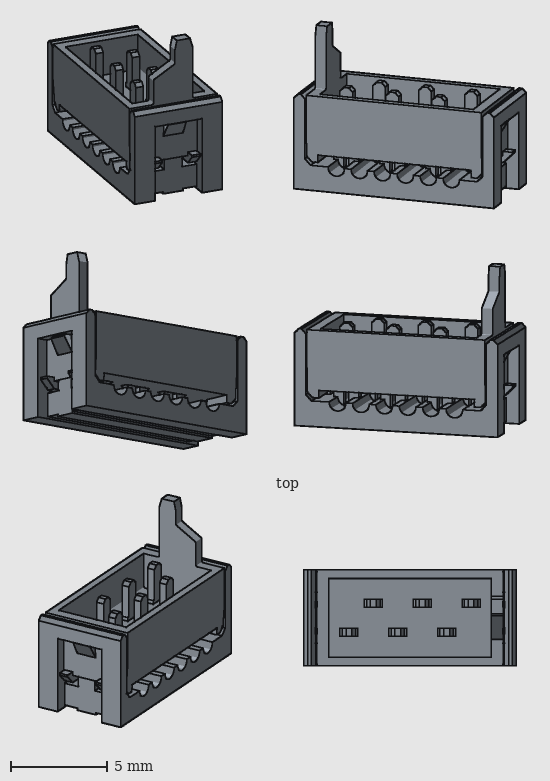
import cadquery as cq
import math

LENGTH = 11.05
WIDTH = 5.0

PITCH = 1.27
CONTACT_COUNT = 6
ROW_Y = 0.75
CONTACT_DEPTH = 0.42
BLADE_WIDTH = 0.7
BLADE_TOP = 5.27
BLADE_TIP_CHAMFER = 0.2
SHOULDER_WIDTH = 0.93
SHOULDER_HEIGHT = 0.21
FORK_WIDTH = 1.37
FORK_SLOT = 0.28
FORK_BOTTOM = 0.66
FORK_FLARE = 0.11

ARM_THICKNESS = 0.62
ARM_TOP = 5.14
ARM_TIP_CHAMFER = 0.22
BASE_TOP = 1.36
BASE_CORNER_CHAMFER = 0.32
GROOVE_RADIUS = 0.45
WINDOW_WIDTH = 2.67
WINDOW_TOP = 4.17
POST_WIDTH = 1.02
POST_INNER_X = 4.19
CHANNEL_HEIGHT = 0.11
KEEL_WIDTH = 1.13

HOUSING_LENGTH = 9.67
HOUSING_TOP = 5.12
LEG_BOTTOM = 1.51
LEG_CORNER_CHAMFER = 0.28
LEG_INNER_Y = 0.84
UNDERSIDE = 1.92
DRAFT_TOP = 3.1
DRAFT_ANGLE = 4.0
CAVITY_LENGTH = 8.46
CAVITY_WIDTH = 4.11
CAVITY_FLOOR = 3.16
CAVITY_FILLET = 0.12

SNAP_REACH = 0.5
CATCH_BOTTOM = 3.25
CATCH_TOP_WIDTH = 1.02
CATCH_BOTTOM_WIDTH = 1.13
CATCH_CHAMFER_X = 0.08
CATCH_CHAMFER_Z = 0.11
HOOK_TOP = 2.12
HOOK_LIP = 0.11

LATCH_HALF_WIDTH = 1.12
LATCH_TOP = 8.5
LATCH_TAPER_START = 7.99
LATCH_TIP_FRONT_Y = 0.21
LATCH_TIP_BACK_Y = 0.96
LATCH_NECK_Y = 0.1
LATCH_NECK_Z = 7.2
LATCH_RAMP_ANGLE = 30.0
LATCH_FILLET = 0.11

HALF_LENGTH = LENGTH / 2
HALF_WIDTH = WIDTH / 2
HOUSING_END = HOUSING_LENGTH / 2
CAVITY_END = CAVITY_LENGTH / 2
CONTACT_X = [(i - (CONTACT_COUNT - 1) / 2) * PITCH for i in range(CONTACT_COUNT)]


def box(x0, x1, y0, y1, z0, z1):
    """Axis-aligned block between the given limits."""
    return cq.Workplane("XY").box(x1 - x0, y1 - y0, z1 - z0, centered=False).translate((x0, y0, z0))


def prism_along_y(points, y0, y1):
    """Extrude an XZ outline from y0 to y1."""
    return cq.Workplane("XZ").polyline(points).close().extrude(y0 - y1).translate((0, y0, 0))


def mirrored_pair(shape, plane):
    """A shape and its mirror image across a plane through the origin."""
    return shape.union(shape.mirror(plane))


def make_contact(x, y):
    """Flat contact: chamfered blade, shoulder through the floor, forked lower end."""
    blade = BLADE_WIDTH / 2
    shoulder = SHOULDER_WIDTH / 2
    fork = FORK_WIDTH / 2
    slot = FORK_SLOT / 2
    tip = blade - BLADE_TIP_CHAMFER
    fillet = shoulder - blade
    shoulder_top = CAVITY_FLOOR + SHOULDER_HEIGHT
    flare_start = UNDERSIDE - FORK_FLARE
    sag = 1 - math.sqrt(0.5)

    half = (
        cq.Workplane("XZ")
        .moveTo(0, BLADE_TOP)
        .lineTo(tip, BLADE_TOP)
        .lineTo(blade, BLADE_TOP - BLADE_TIP_CHAMFER)
        .lineTo(blade, shoulder_top + fillet)
        .threePointArc((blade + sag * fillet, shoulder_top + sag * fillet), (shoulder, shoulder_top))
        .lineTo(shoulder, UNDERSIDE)
        .lineTo(fork + FORK_FLARE, UNDERSIDE)
        .threePointArc(
            (fork + sag * FORK_FLARE, UNDERSIDE - sag * FORK_FLARE),
            (fork, flare_start),
        )
        .lineTo(fork, FORK_BOTTOM)
        .lineTo(slot, FORK_BOTTOM)
        .lineTo(slot, UNDERSIDE)
        .lineTo(0, UNDERSIDE)
        .close()
        .extrude(CONTACT_DEPTH / 2, both=True)
    )
    return mirrored_pair(half, "YZ").translate((x, y, 0))


contacts = []
for index, contact_x in enumerate(CONTACT_X):
    row_y = -ROW_Y if index % 2 == 0 else ROW_Y
    contacts.append(make_contact(contact_x, row_y))


def make_cover():
    """U-shaped cover: grooved base, two windowed arms, and a post at each end."""
    arm_inner = HALF_LENGTH - ARM_THICKNESS
    arm_half = [
        (0, 0),
        (HALF_LENGTH, 0),
        (HALF_LENGTH, ARM_TOP - ARM_TIP_CHAMFER),
        (HALF_LENGTH - ARM_TIP_CHAMFER, ARM_TOP),
        (arm_inner + ARM_TIP_CHAMFER, ARM_TOP),
        (arm_inner, ARM_TOP - ARM_TIP_CHAMFER),
        (arm_inner, BASE_TOP + BASE_CORNER_CHAMFER),
        (arm_inner - BASE_CORNER_CHAMFER, BASE_TOP),
        (0, BASE_TOP),
    ]
    cover = mirrored_pair(prism_along_y(arm_half, -HALF_WIDTH, HALF_WIDTH), "YZ")

    base_corner = box(
        arm_inner - BASE_CORNER_CHAMFER, arm_inner,
        -WINDOW_WIDTH / 2, WINDOW_WIDTH / 2,
        BASE_TOP, BASE_TOP + BASE_CORNER_CHAMFER,
    )
    cover = cover.cut(mirrored_pair(base_corner, "YZ"))

    post = box(POST_INNER_X, arm_inner, -POST_WIDTH / 2, POST_WIDTH / 2, BASE_TOP, UNDERSIDE)
    cover = cover.union(mirrored_pair(post, "YZ"))
    window = box(HOUSING_END, HALF_LENGTH, -WINDOW_WIDTH / 2, WINDOW_WIDTH / 2, 0, WINDOW_TOP)
    cover = cover.cut(mirrored_pair(window, "YZ"))

    channel = box(-HALF_LENGTH, HALF_LENGTH, KEEL_WIDTH / 2, WINDOW_WIDTH / 2, 0, CHANNEL_HEIGHT)
    cover = cover.cut(mirrored_pair(channel, "XZ"))

    grooves = (
        cq.Workplane("XZ")
        .pushPoints([(x, BASE_TOP) for x in CONTACT_X])
        .circle(GROOVE_RADIUS)
        .extrude(HALF_WIDTH, both=True)
    )
    return cover.cut(grooves)


def make_shell():
    """Box with an open top, drafted lower sides and four corner legs."""
    draft = (DRAFT_TOP - LEG_BOTTOM) * math.tan(math.radians(DRAFT_ANGLE))
    section = [
        (-HALF_WIDTH + draft, LEG_BOTTOM),
        (HALF_WIDTH - draft, LEG_BOTTOM),
        (HALF_WIDTH, DRAFT_TOP),
        (HALF_WIDTH, HOUSING_TOP),
        (-HALF_WIDTH, HOUSING_TOP),
        (-HALF_WIDTH, DRAFT_TOP),
    ]
    body = cq.Workplane("YZ").polyline(section).close().extrude(HOUSING_END, both=True)

    corner = [
        (HOUSING_END, LEG_BOTTOM),
        (HOUSING_END, LEG_BOTTOM + LEG_CORNER_CHAMFER),
        (HOUSING_END - LEG_CORNER_CHAMFER, LEG_BOTTOM),
    ]
    corner_cut = prism_along_y(corner, WINDOW_WIDTH / 2, HALF_WIDTH)
    body = body.cut(mirrored_pair(mirrored_pair(corner_cut, "YZ"), "XZ"))

    body = body.cut(box(-CAVITY_END, CAVITY_END, -HALF_WIDTH, HALF_WIDTH, LEG_BOTTOM, UNDERSIDE))
    body = body.cut(box(-HOUSING_END, HOUSING_END, -LEG_INNER_Y, LEG_INNER_Y, LEG_BOTTOM, UNDERSIDE))

    cavity = box(
        -CAVITY_END, CAVITY_END, -CAVITY_WIDTH / 2, CAVITY_WIDTH / 2, CAVITY_FLOOR, HOUSING_TOP
    )
    return body.cut(cavity.edges("|X and <Z").fillet(CAVITY_FILLET))


def make_catch():
    """Wedge on the +X end that snaps under the top edge of the cover window."""
    reach = HOUSING_END + SNAP_REACH
    profile = [
        (HOUSING_END, CATCH_BOTTOM),
        (reach, WINDOW_TOP - CATCH_CHAMFER_Z),
        (reach - CATCH_CHAMFER_X, WINDOW_TOP),
        (HOUSING_END, WINDOW_TOP),
    ]
    outline = [
        (-CATCH_BOTTOM_WIDTH / 2, CATCH_BOTTOM),
        (CATCH_BOTTOM_WIDTH / 2, CATCH_BOTTOM),
        (CATCH_TOP_WIDTH / 2, WINDOW_TOP),
        (-CATCH_TOP_WIDTH / 2, WINDOW_TOP),
    ]
    wedge = prism_along_y(profile, -CATCH_BOTTOM_WIDTH / 2, CATCH_BOTTOM_WIDTH / 2)
    taper = cq.Workplane("YZ").polyline(outline).close().extrude(HALF_LENGTH)
    return wedge.intersect(taper)


def make_hook():
    """Ramped hook on the +X end, below the catch, filling the edge of the cover window."""
    reach = HOUSING_END + SNAP_REACH
    profile = [
        (HOUSING_END, LEG_BOTTOM),
        (reach, HOOK_TOP - HOOK_LIP),
        (reach, HOOK_TOP),
        (HOUSING_END, HOOK_TOP),
    ]
    return prism_along_y(profile, LEG_INNER_Y, WINDOW_WIDTH / 2)


def make_latch():
    """Tall stepped blade rising from the +X wall, filleted into the wall top."""
    ramp_drop = (LATCH_NECK_Y + LATCH_HALF_WIDTH) * math.tan(math.radians(LATCH_RAMP_ANGLE))
    outline = [
        (-LATCH_HALF_WIDTH, HOUSING_TOP),
        (LATCH_HALF_WIDTH, HOUSING_TOP),
        (LATCH_HALF_WIDTH, LATCH_TAPER_START),
        (LATCH_TIP_BACK_Y, LATCH_TOP),
        (LATCH_TIP_FRONT_Y, LATCH_TOP),
        (LATCH_NECK_Y, LATCH_TAPER_START),
        (LATCH_NECK_Y, LATCH_NECK_Z),
        (-LATCH_HALF_WIDTH, LATCH_NECK_Z - ramp_drop),
    ]
    thickness = HOUSING_END - CAVITY_END
    blade = cq.Workplane("YZ", origin=(CAVITY_END, 0, 0)).polyline(outline).close().extrude(thickness)
    for ramp_end in [outline[6], outline[7]]:
        at_corner = cq.selectors.NearestToPointSelector((CAVITY_END + thickness / 2, *ramp_end))
        blade = blade.edges(at_corner).fillet(LATCH_FILLET)

    corner = box(
        CAVITY_END, HOUSING_END,
        LATCH_HALF_WIDTH, LATCH_HALF_WIDTH + LATCH_FILLET,
        HOUSING_TOP, HOUSING_TOP + LATCH_FILLET,
    )
    base_fillet = corner.cut(
        cq.Workplane("YZ")
        .center(LATCH_HALF_WIDTH + LATCH_FILLET, HOUSING_TOP + LATCH_FILLET)
        .circle(LATCH_FILLET)
        .extrude(HALF_LENGTH)
    )
    return blade.union(mirrored_pair(base_fillet, "XZ"))


def make_housing():
    """Shell with its catches, hooks and latch."""
    housing = make_shell()
    housing = housing.union(mirrored_pair(make_catch(), "YZ"))
    housing = housing.union(mirrored_pair(mirrored_pair(make_hook(), "YZ"), "XZ"))
    return housing.union(make_latch())


cover = make_cover()
housing = make_housing()
for contact in contacts:
    cover = cover.cut(contact)
    housing = housing.cut(contact)

contact_solids = [contact.solids().val() for contact in contacts]
result = cq.Compound.makeCompound([cover.solids().val(), housing.solids().val(), *contact_solids])